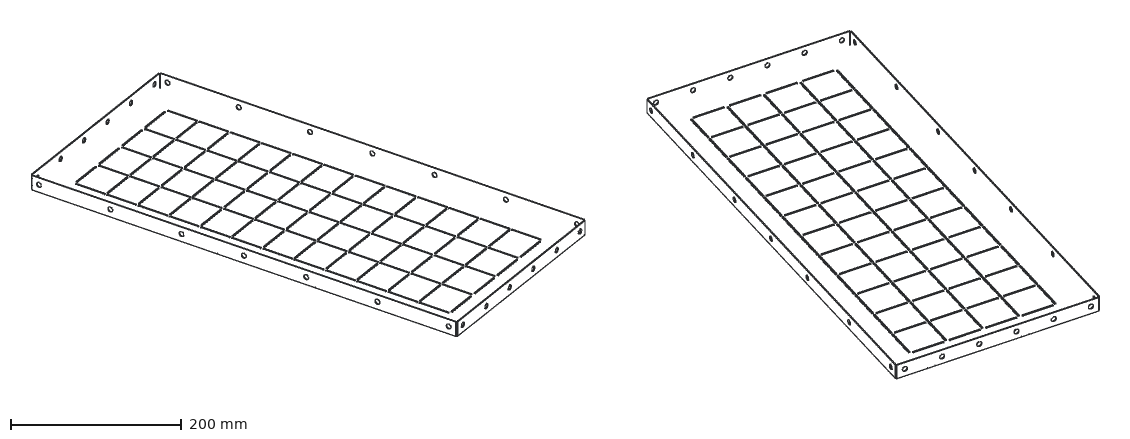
import cadquery as cq

length = 599.0
width = 275.0
height = 21.0

sheet = 1.5
bend_outer = 2.3
bend_inner = bend_outer - sheet
corner_notch = 2.0

columns = 12
rows = 4
grid_length = 526.5
grid_width = 196.0
column_pitch = grid_length / columns
row_pitch = grid_width / rows
slot_width = 2.05
cross_bridge = 3.0
upright_bridge = 8.0
cross_slot_length = column_pitch - cross_bridge
upright_slot_length = row_pitch - upright_bridge

hole_diameter = 6.5
hole_drop = 9.5
hole_z = height - hole_drop
long_side_offsets = [87.5, 187.5, 287.5]
short_side_hole_count = 6
short_side_hole_span = 250.0
short_side_hole_pitch = short_side_hole_span / (short_side_hole_count - 1)


def block_bottom_edges(block_length, block_width, floor_z):
    """Bottom edges, ready to be filleted, of a block from floor_z up to the rim."""
    return (
        cq.Workplane("XY")
        .workplane(offset=floor_z)
        .box(block_length, block_width, height - floor_z, centered=(True, True, False))
        .faces("<Z")
        .edges()
    )


def make_tray():
    """Folded sheet: rounded bends along the floor, open top, notched corners."""
    outer = block_bottom_edges(length, width, 0).fillet(bend_outer)
    inner = block_bottom_edges(length - 2 * sheet, width - 2 * sheet, sheet).fillet(bend_inner)
    corner_notches = (
        cq.Workplane("XY")
        .rect(length - corner_notch, width - corner_notch, forConstruction=True)
        .vertices()
        .rect(corner_notch, corner_notch)
        .extrude(height)
    )
    return outer.cut(inner).cut(corner_notches)


def make_slots(size_x, size_y, column_count, row_count):
    """Centred array of rectangular cutters that go through the floor."""
    return (
        cq.Workplane("XY")
        .rarray(column_pitch, row_pitch, column_count, row_count)
        .rect(size_x, size_y)
        .extrude(sheet)
    )


def make_long_side_drills():
    """Drills along Y through both long flanges: one central, the rest mirrored."""
    places = [0.0]
    for offset in long_side_offsets:
        places += [-offset, offset]
    return (
        cq.Workplane("XZ")
        .pushPoints([(x, hole_z) for x in places])
        .circle(hole_diameter / 2)
        .extrude(width, both=True)
    )


def make_short_side_drills():
    """Drills along X through both short flanges, evenly spaced."""
    return (
        cq.Workplane("YZ")
        .center(0, hole_z)
        .rarray(short_side_hole_pitch, 6, short_side_hole_count, 1)
        .circle(hole_diameter / 2)
        .extrude(length, both=True)
    )


cross_slots = make_slots(cross_slot_length, slot_width, columns, rows + 1)
upright_slots = make_slots(slot_width, upright_slot_length, columns + 1, rows)

result = make_tray()
result = result.cut(cross_slots).cut(upright_slots)
result = result.cut(make_long_side_drills()).cut(make_short_side_drills())